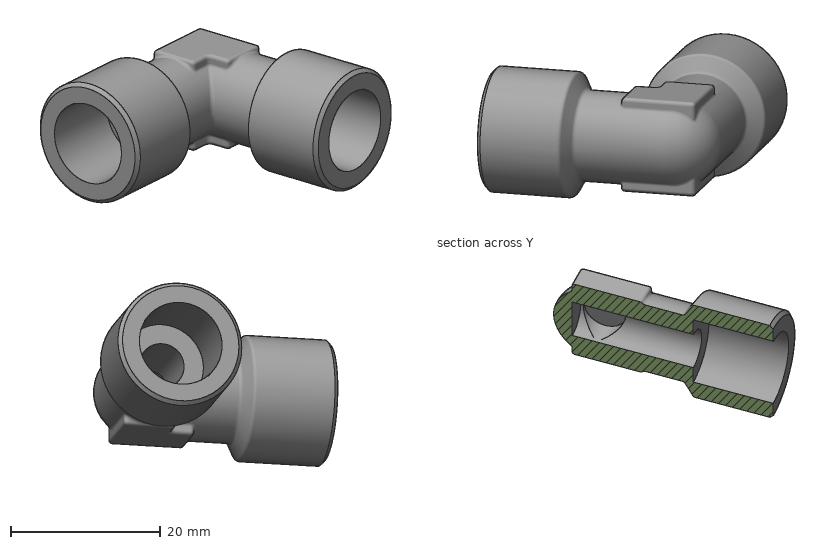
import cadquery as cq
import math

overall_length = 34.0
collar_radius = 8.5
arm_length = overall_length - collar_radius

tube_radius = 6.15
collar_length = 11.5
shoulder_angle = 60.0
mouth_chamfer = 0.5
edge_radius = 0.5

port_radius = 5.68
port_depth = collar_length
passage_radius = 3.03
passage_overrun = 3.4

pad_half_width = 3.5
pad_reach = 6.8
pad_height = 6.5
pad_notch_radius = 0.65

contact_tolerance = 0.0005

shoulder_length = (collar_radius - tube_radius) / math.tan(math.radians(shoulder_angle))
collar_start = arm_length - collar_length
shoulder_start = collar_start - shoulder_length


def both_arms(arm):
    """Join an arm lying along +X with its copy along -Y."""
    return arm.union(arm.rotate((0, 0, 0), (0, 0, 1), -90))


def arm_body():
    """Tube, conical shoulder and collar, turned around the X axis."""
    arm = (
        cq.Workplane("XY")
        .lineTo(0, tube_radius)
        .lineTo(shoulder_start, tube_radius)
        .lineTo(collar_start, collar_radius)
        .lineTo(arm_length, collar_radius)
        .lineTo(arm_length, 0)
        .close()
        .revolve(360, (0, 0, 0), (1, 0, 0))
    )
    arm = arm.faces(">X").edges().chamfer(mouth_chamfer)
    return arm.faces("%CONE").faces("<X").edges().fillet(edge_radius)


def elbow_tubes():
    """Both arms with a ball over the outer corner and a fillet in the inner corner."""
    tubes = both_arms(arm_body()).union(cq.Workplane("XY").sphere(tube_radius))
    return tubes.edges("%ELLIPSE").fillet(edge_radius)


def pad():
    """L-shaped block rising from the mid-plane to the upper flat, with rounded edges."""
    block = (
        cq.Workplane("XY")
        .moveTo(-pad_half_width, pad_half_width)
        .lineTo(pad_reach, pad_half_width)
        .lineTo(pad_reach, -pad_half_width)
        .lineTo(pad_half_width, -pad_half_width)
        .lineTo(pad_half_width, -pad_reach)
        .lineTo(-pad_half_width, -pad_reach)
        .close()
        .extrude(pad_height)
    )
    upright = cq.selectors.ParallelDirSelector(cq.Vector(0, 0, 1))
    notch = cq.selectors.NearestToPointSelector((pad_half_width, -pad_half_width, pad_height / 2))
    block = block.edges(upright - notch).fillet(edge_radius)
    block = block.edges(notch).fillet(pad_notch_radius)
    return block.faces(">Z").edges().fillet(edge_radius)


def add_pad(body, block):
    """Join a pad to the body and fillet the line along which they meet."""
    touching = [block.val().Shells()[0], body.val().Shells()[0]]

    def on_both(edge):
        middle = cq.Vertex.makeVertex(*edge.positionAt(0.5).toTuple())
        return all(middle.distance(skin) < contact_tolerance for skin in touching)

    joined = body.union(block)
    foot_edges = [edge for edge in joined.edges().vals() if on_both(edge)]
    return joined.newObject(foot_edges).fillet(edge_radius)


def arm_bore():
    """Wide port at the mouth, followed by the narrow passage to the elbow."""
    port = cq.Workplane("YZ", origin=(arm_length - port_depth, 0, 0)).circle(port_radius).extrude(port_depth)
    passage = (
        cq.Workplane("YZ", origin=(-passage_overrun, 0, 0))
        .circle(passage_radius)
        .extrude(passage_overrun + arm_length)
    )
    return port.union(passage)


upper_pad = pad()
lower_pad = upper_pad.mirror("XY")
body = add_pad(elbow_tubes(), upper_pad)
body = add_pad(body, lower_pad)
result = body.cut(both_arms(arm_bore()))